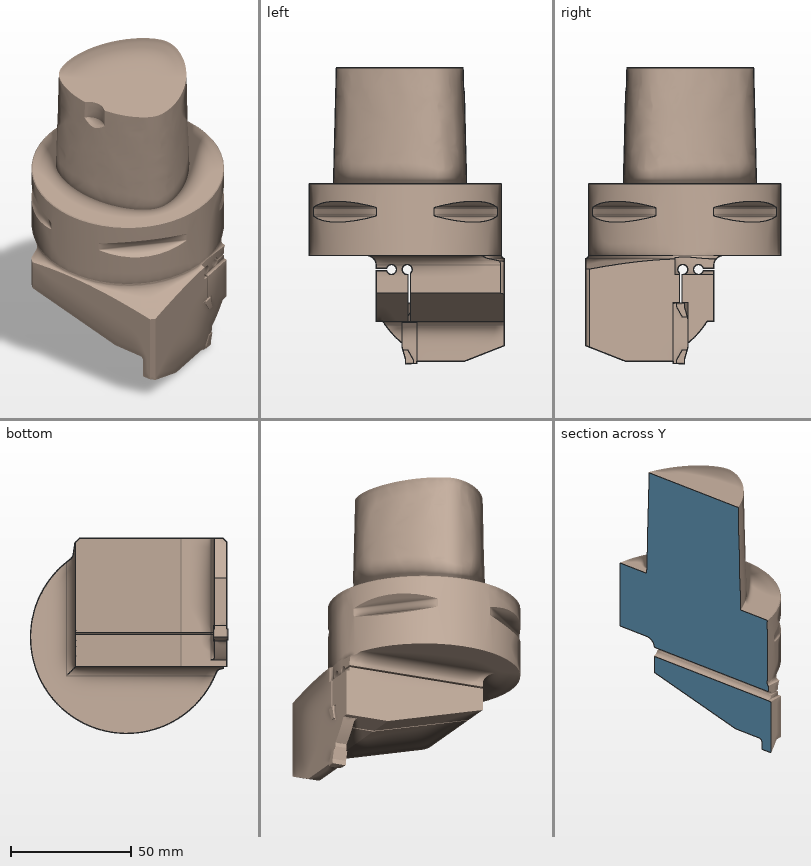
import cadquery as cq
import math


OVERALL_LENGTH = 123.0
CLEARANCE = 1.2

SHANK_HEIGHT = 48.0
SHANK_BASE_RADIUS = 27.7
LOBE_HEIGHT = 2.2
SHANK_TAPER = 1 / 40
OUTLINE_POINTS = 48

KEYWAY_RADIUS = 6.5
KEYWAY_CENTRE_Y = -28.3
KEYWAY_DEPTH = 8.1

FLANGE_RADIUS = 80.0 / 2
FLANGE_HEIGHT = 30.0
RIM_CHAMFER = 0.4

GROOVE_COUNT = 4
GROOVE_FIRST_ANGLE = 45.0
GROOVE_Z = -11.8
GROOVE_FLOOR_RADIUS = 35.4
GROOVE_FLOOR_HALF = 1.7
GROOVE_FLANK_ANGLE = 30.0
GROOVE_FLOOR_FILLET = 0.6

SHOULDER_ANGLE = 15.0
SHOULDER_FILLET = 1.2
SHOULDER_REACH = 64.0

HEAD_LEFT = -21.2
HEAD_RIGHT = 41.6
HEAD_FRONT = -41.1
HEAD_BACK = 12.2
HEAD_CHAMFER = 1.6
HEAD_FILLET = 3.9
HEAD_LEFT_Z = -45.6
HEAD_BOTTOM_Z = -57.3
HEAD_SLOPE_ANGLE = 15.0
BLADE_LEFT = 36.4
BLADE_BOTTOM_Z = -73.9
BLADE_FILLET = 1.5
BLADE_FRONT_Z = -67.4
BLADE_BEVEL_Y = -24.5
BLADE_BACK_TOP_Y = 9.3
BLADE_BACK_MIDDLE = (5.8, -62.1)
BLADE_BACK_END_Z = -66.3

RELIEF_DIAMETER = 4.0
RELIEF_Z = -35.8
BACK_RELIEF_Y = 5.8
FRONT_RELIEF_Y = -0.7
SLIT_WIDTH = 0.9
FINGER_SLIT_Y = -1.6
STEP_X = 40.1
STEP_FRONT = -3.9
STEP_FLOOR_Z = -37.9

INSERT_LENGTH = 25.5
INSERT_TIP_Z = SHANK_HEIGHT - OVERALL_LENGTH
INSERT_BACK = 1.5
INSERT_FRONT = -4.8
INSERT_MIDDLE_Z = INSERT_TIP_Z + INSERT_LENGTH / 2
CUTTING_WIDTH = 6.2
TIP_LAND = 2.0
RAKE_START = 7.1
END_RELIEF = 0.2
CHEEK_LENGTH = 5.9
CHEEK_TOP_FRONT = -1.0
CHEEK_LOW_FRONT = -3.5
CHEEK_LOW_HEIGHT = 1.5
CHEEK_CORNER_RADIUS = 0.4

BLADE_CENTRE_X = (BLADE_LEFT + HEAD_RIGHT) / 2
BLADE_THICKNESS = HEAD_RIGHT - BLADE_LEFT


def box(x_range, y_range, z_range):
    """Axis-aligned box between the given limits."""
    size = [high - low for low, high in (x_range, y_range, z_range)]
    corner = (x_range[0], y_range[0], z_range[0])
    return cq.Workplane("XY").box(*size, centered=False).translate(corner)


def shank_outline(mean_radius):
    """Points of a three-lobed curve of constant width, with a lobe toward +Y."""
    points = []
    for i in range(OUTLINE_POINTS):
        angle = 2 * math.pi * i / OUTLINE_POINTS
        half_width = mean_radius + LOBE_HEIGHT * math.cos(3 * angle)
        slope = -3 * LOBE_HEIGHT * math.sin(3 * angle)
        toward_lobe = half_width * math.cos(angle) - slope * math.sin(angle)
        sideways = half_width * math.sin(angle) + slope * math.cos(angle)
        points.append((-sideways, toward_lobe))
    return points


def make_shank():
    top_radius = SHANK_BASE_RADIUS - SHANK_HEIGHT * SHANK_TAPER
    shank = (
        cq.Workplane("XY")
        .spline(shank_outline(SHANK_BASE_RADIUS), periodic=True).close()
        .workplane(offset=SHANK_HEIGHT)
        .spline(shank_outline(top_radius), periodic=True).close()
        .loft(ruled=True)
    )
    rim_z = SHANK_HEIGHT - KEYWAY_DEPTH
    keyway = (
        cq.Workplane("XZ")
        .polyline([
            (0, SHANK_HEIGHT + CLEARANCE),
            (KEYWAY_RADIUS, SHANK_HEIGHT + CLEARANCE),
            (KEYWAY_RADIUS, rim_z),
            (0, rim_z - KEYWAY_RADIUS),
        ])
        .close()
        .revolve(360, (0, 0, 0), (0, 1, 0))
        .translate((0, KEYWAY_CENTRE_Y, 0))
    )
    return shank.cut(keyway)


def make_groove():
    """Cutter for the gripper groove facing +X."""
    overshoot = FLANGE_RADIUS + CLEARANCE
    rise = (overshoot - GROOVE_FLOOR_RADIUS) * math.tan(math.radians(GROOVE_FLANK_ANGLE))
    mouth_half = GROOVE_FLOOR_HALF + rise
    return (
        cq.Workplane("XZ")
        .polyline([
            (GROOVE_FLOOR_RADIUS, GROOVE_Z - GROOVE_FLOOR_HALF),
            (overshoot, GROOVE_Z - mouth_half),
            (overshoot, GROOVE_Z + mouth_half),
            (GROOVE_FLOOR_RADIUS, GROOVE_Z + GROOVE_FLOOR_HALF),
        ])
        .close()
        .extrude(FLANGE_RADIUS, both=True)
        .edges("|Y and <X").fillet(GROOVE_FLOOR_FILLET)
    )


def cut_gripper_grooves(holder):
    for i in range(GROOVE_COUNT):
        angle = GROOVE_FIRST_ANGLE + 360 / GROOVE_COUNT * i
        holder = holder.cut(make_groove().rotate((0, 0, 0), (0, 0, 1), angle))
    return holder


def make_envelope():
    """Solid of revolution that bounds the flange and the head's sloping shoulder."""
    angle = math.radians(SHOULDER_ANGLE)
    bend = math.radians((90 - SHOULDER_ANGLE) / 2)
    centre_r = FLANGE_RADIUS + SHOULDER_FILLET

    def fillet_point(turn):
        return (
            centre_r - SHOULDER_FILLET * math.cos(turn),
            -FLANGE_HEIGHT - SHOULDER_FILLET * math.sin(turn),
        )

    shoulder_r, shoulder_z = fillet_point(2 * bend)
    rim_z = shoulder_z - (SHOULDER_REACH - shoulder_r) * math.tan(angle)
    return (
        cq.Workplane("XZ")
        .moveTo(0, 0)
        .lineTo(FLANGE_RADIUS - RIM_CHAMFER, 0)
        .lineTo(FLANGE_RADIUS, -RIM_CHAMFER)
        .lineTo(FLANGE_RADIUS, -FLANGE_HEIGHT)
        .threePointArc(fillet_point(bend), (shoulder_r, shoulder_z))
        .lineTo(SHOULDER_REACH, rim_z)
        .lineTo(SHOULDER_REACH, BLADE_BOTTOM_Z - CLEARANCE)
        .lineTo(0, BLADE_BOTTOM_Z - CLEARANCE)
        .close()
        .revolve(360, (0, 0, 0), (0, 1, 0))
    )


def make_head():
    """Head and blade, reaching up to the flange underside."""
    plan = (
        cq.Workplane("XY", origin=(0, 0, BLADE_BOTTOM_Z))
        .polyline([
            (HEAD_LEFT, HEAD_BACK),
            (HEAD_LEFT, HEAD_FRONT + HEAD_CHAMFER),
            (HEAD_LEFT + HEAD_CHAMFER, HEAD_FRONT),
            (HEAD_RIGHT - HEAD_CHAMFER, HEAD_FRONT),
            (HEAD_RIGHT, HEAD_FRONT + HEAD_CHAMFER),
            (HEAD_RIGHT, HEAD_BACK),
        ])
        .close()
        .extrude(-BLADE_BOTTOM_Z - FLANGE_HEIGHT)
    )
    slope_run = (HEAD_LEFT_Z - HEAD_BOTTOM_Z) / math.tan(math.radians(HEAD_SLOPE_ANGLE))
    below_head = (
        cq.Workplane("XZ", origin=(0, HEAD_BACK, 0))
        .moveTo(HEAD_LEFT, HEAD_LEFT_Z)
        .lineTo(HEAD_LEFT + slope_run, HEAD_BOTTOM_Z)
        .lineTo(BLADE_LEFT - BLADE_FILLET, HEAD_BOTTOM_Z)
        .radiusArc((BLADE_LEFT, HEAD_BOTTOM_Z - BLADE_FILLET), BLADE_FILLET)
        .lineTo(BLADE_LEFT, BLADE_BOTTOM_Z)
        .lineTo(HEAD_LEFT, BLADE_BOTTOM_Z)
        .close()
        .extrude(HEAD_BACK - HEAD_FRONT)
    )
    return plan.cut(below_head)


def trim_blade(head):
    """Bevel the blade's front and curve its back down toward the insert tip."""
    bevel = (
        cq.Workplane("YZ", origin=(HEAD_LEFT, 0, 0))
        .polyline([
            (HEAD_FRONT, BLADE_FRONT_Z),
            (BLADE_BEVEL_Y, BLADE_BOTTOM_Z),
            (HEAD_FRONT, BLADE_BOTTOM_Z),
        ])
        .close()
        .extrude(HEAD_RIGHT - HEAD_LEFT)
    )
    behind_blade = (
        cq.Workplane("YZ", origin=(HEAD_LEFT, 0, 0))
        .moveTo(BLADE_BACK_TOP_Y, HEAD_BOTTOM_Z)
        .threePointArc(BLADE_BACK_MIDDLE, (INSERT_BACK, BLADE_BACK_END_Z))
        .lineTo(INSERT_FRONT, BLADE_BACK_END_Z)
        .lineTo(INSERT_FRONT, BLADE_BOTTOM_Z)
        .lineTo(HEAD_BACK, BLADE_BOTTOM_Z)
        .lineTo(HEAD_BACK, HEAD_BOTTOM_Z)
        .close()
        .extrude(HEAD_RIGHT - HEAD_LEFT)
    )
    return head.cut(bevel).cut(behind_blade)


def make_base():
    """Flange and head in one piece, with fillets where the head meets the flange."""
    plate = box(
        (-SHOULDER_REACH, SHOULDER_REACH),
        (-SHOULDER_REACH, SHOULDER_REACH),
        (-FLANGE_HEIGHT, 0),
    )
    joined = plate.union(trim_blade(make_head()))
    left_seam = cq.selectors.NearestToPointSelector((HEAD_LEFT, HEAD_FRONT / 2, -FLANGE_HEIGHT))
    back_seam = cq.selectors.NearestToPointSelector((HEAD_RIGHT / 4, HEAD_BACK, -FLANGE_HEIGHT))
    joined = joined.edges(left_seam + back_seam).fillet(HEAD_FILLET)
    return joined.intersect(make_envelope())


def cut_clamping_finger(holder):
    """Drill the relief holes, saw the slits and step the side face above the finger."""
    along_x = (HEAD_LEFT - HEAD_FILLET, HEAD_RIGHT)
    half_slit = SLIT_WIDTH / 2
    relief_holes = (
        cq.Workplane("YZ", origin=(along_x[0], 0, 0))
        .pushPoints([(BACK_RELIEF_Y, RELIEF_Z), (FRONT_RELIEF_Y, RELIEF_Z)])
        .circle(RELIEF_DIAMETER / 2)
        .extrude(along_x[1] - along_x[0])
    )
    back_slit = box(
        along_x, (BACK_RELIEF_Y, HEAD_BACK), (RELIEF_Z - half_slit, RELIEF_Z + half_slit)
    )
    finger_slit = box(
        along_x, (FINGER_SLIT_Y - half_slit, FINGER_SLIT_Y + half_slit), (HEAD_BOTTOM_Z, RELIEF_Z)
    )
    side_step = box(
        (STEP_X, HEAD_RIGHT),
        (STEP_FRONT, HEAD_BACK + HEAD_FILLET),
        (STEP_FLOOR_Z, -FLANGE_HEIGHT),
    )
    return holder.cut(relief_holes).cut(back_slit).cut(finger_slit).cut(side_step)


def extrude_across_blade(outline, width):
    """Extrude a YZ outline along X, centred on the blade."""
    return outline.extrude(width / 2, both=True).translate((BLADE_CENTRE_X, 0, 0))


def make_insert_half():
    """Lower half of the insert, with its cutting edge at Y = 0."""
    core = extrude_across_blade(
        cq.Workplane("YZ")
        .moveTo(INSERT_FRONT, INSERT_MIDDLE_Z)
        .lineTo(INSERT_FRONT, INSERT_TIP_Z + END_RELIEF)
        .lineTo(0, INSERT_TIP_Z)
        .lineTo(0, INSERT_TIP_Z + TIP_LAND)
        .lineTo(INSERT_BACK, INSERT_TIP_Z + RAKE_START)
        .lineTo(INSERT_BACK, INSERT_MIDDLE_Z)
        .close(),
        BLADE_THICKNESS,
    )
    rake_slope = INSERT_BACK / (RAKE_START - TIP_LAND)
    cheek_top_back = rake_slope * (CHEEK_LENGTH - TIP_LAND)
    end_slope = -END_RELIEF / INSERT_FRONT
    cheeks = extrude_across_blade(
        cq.Workplane("YZ")
        .moveTo(0, INSERT_TIP_Z)
        .lineTo(0, INSERT_TIP_Z + TIP_LAND)
        .lineTo(cheek_top_back, INSERT_TIP_Z + CHEEK_LENGTH)
        .lineTo(CHEEK_TOP_FRONT, INSERT_TIP_Z + CHEEK_LENGTH)
        .lineTo(CHEEK_LOW_FRONT, INSERT_TIP_Z + CHEEK_LOW_HEIGHT)
        .lineTo(CHEEK_LOW_FRONT, INSERT_TIP_Z - end_slope * CHEEK_LOW_FRONT)
        .close(),
        CUTTING_WIDTH,
    )
    cheeks = cheeks.faces("<Z").edges("not |X").edges("<X or >X").fillet(CHEEK_CORNER_RADIUS)
    return core.union(cheeks)


def make_insert():
    lower_half = make_insert_half()
    upper_half = lower_half.mirror("XY", (0, 0, INSERT_MIDDLE_Z))
    return lower_half.union(upper_half)


def cut_insert_seat(holder):
    """Seat as wide as the insert's cheeks, open toward +X and below."""
    seat = box(
        (BLADE_CENTRE_X - CUTTING_WIDTH / 2, HEAD_RIGHT),
        (INSERT_FRONT, INSERT_BACK),
        (BLADE_BOTTOM_Z, INSERT_TIP_Z + INSERT_LENGTH),
    )
    return holder.cut(seat)


def make_holder():
    holder = cut_gripper_grooves(make_base()).union(make_shank())
    return cut_insert_seat(cut_clamping_finger(holder))


holder = make_holder()
insert = make_insert()
result = cq.Compound.makeCompound([holder.solids().val(), insert.solids().val()])